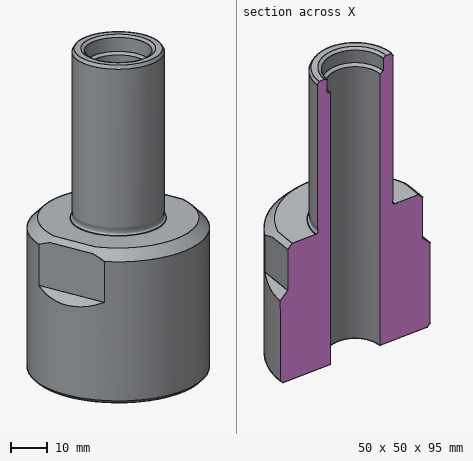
import cadquery as cq
import math

body_diameter = 50.0
body_height = 45.0
body_bottom_chamfer = 1.0
body_top_chamfer = 2.9

shank_diameter = 25.4
total_height = 95.0
shank_chamfer_height = 1.0
shank_chamfer_angle = 30.0

undercut_length = 2.1
neck_diameter = 25.0
undercut_taper_length = 0.95
undercut_fillet = 0.7
face_relief_depth = 0.1
face_relief_diameter = 26.2

across_flats = 45.0
flat_length = 15.0
flat_top_chamfer = 1.5

bore_diameter = 16.38
counterbore_diameter = 18.5
counterbore_depth = 4.7
bore_mouth_diameter = 20.5
mouth_chamfer_angle = 30.0
step_angle = 30.0


def tan_deg(angle):
    return math.tan(math.radians(angle))


def revolve_profile(profile):
    """Close an XZ half-section and turn it around the Z axis."""
    return profile.close().revolve(360, (0, 0, 0), (0, 1, 0))


def make_turned_blank():
    body_radius = body_diameter / 2
    shank_radius = shank_diameter / 2
    neck_radius = neck_diameter / 2
    shank_end_radius = shank_radius - shank_chamfer_height * tan_deg(shank_chamfer_angle)
    undercut_top = body_height + undercut_length
    relief_floor = body_height - face_relief_depth
    fillet_center_r = neck_radius + undercut_fillet
    fillet_center_z = relief_floor + undercut_fillet
    fillet_mid_offset = undercut_fillet * math.sqrt(0.5)

    profile = (
        cq.Workplane("XZ")
        .moveTo(0, 0)
        .lineTo(body_radius - body_bottom_chamfer, 0)
        .lineTo(body_radius, body_bottom_chamfer)
        .lineTo(body_radius, body_height - body_top_chamfer)
        .lineTo(body_radius - body_top_chamfer, body_height)
        .lineTo(face_relief_diameter / 2, body_height)
        .lineTo(fillet_center_r, relief_floor)
        .threePointArc(
            (fillet_center_r - fillet_mid_offset, fillet_center_z - fillet_mid_offset),
            (neck_radius, fillet_center_z),
        )
        .lineTo(neck_radius, undercut_top - undercut_taper_length)
        .lineTo(shank_radius, undercut_top)
        .lineTo(shank_radius, total_height - shank_chamfer_height)
        .lineTo(shank_end_radius, total_height)
        .lineTo(0, total_height)
    )
    return revolve_profile(profile)


def make_bore():
    bore_radius = bore_diameter / 2
    counterbore_radius = counterbore_diameter / 2
    mouth_radius = bore_mouth_diameter / 2
    mouth_depth = (mouth_radius - counterbore_radius) * tan_deg(mouth_chamfer_angle)
    counterbore_floor = total_height - counterbore_depth
    step_height = (counterbore_radius - bore_radius) * tan_deg(step_angle)

    profile = (
        cq.Workplane("XZ")
        .moveTo(0, 0)
        .lineTo(bore_radius, 0)
        .lineTo(bore_radius, counterbore_floor - step_height)
        .lineTo(counterbore_radius, counterbore_floor)
        .lineTo(counterbore_radius, total_height - mouth_depth)
        .lineTo(mouth_radius, total_height)
        .lineTo(0, total_height)
    )
    return revolve_profile(profile)


def make_flat_cutter():
    """Cutter for the +Y flat, with a chamfered top edge and a 45 degree run-out below."""
    flat_y = across_flats / 2
    outer_y = body_diameter / 2
    flat_bottom = body_height - flat_length
    runout_bottom = flat_bottom - (outer_y - flat_y)

    return (
        cq.Workplane("YZ")
        .moveTo(outer_y, runout_bottom)
        .lineTo(flat_y, flat_bottom)
        .lineTo(flat_y, body_height - flat_top_chamfer)
        .lineTo(flat_y - flat_top_chamfer, body_height)
        .lineTo(outer_y, body_height)
        .close()
        .extrude(body_diameter / 2, both=True)
    )


flat_cutter = make_flat_cutter()
result = make_turned_blank().cut(make_bore())
for flat_cut in (flat_cutter, flat_cutter.mirror("XZ")):
    result = result.cut(flat_cut)